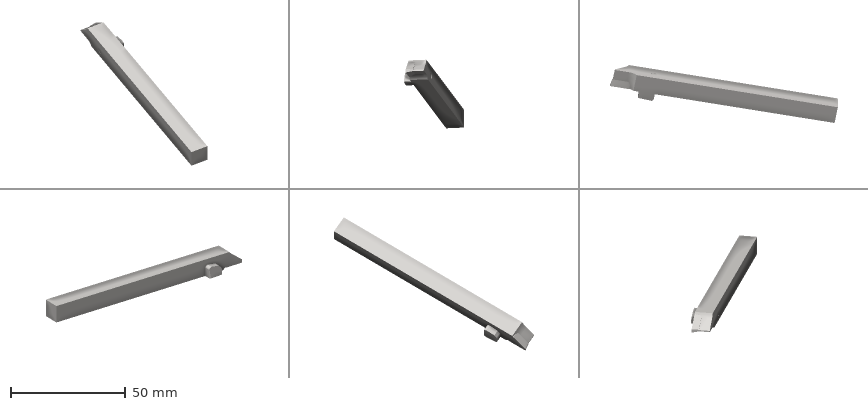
import cadquery as cq
import math

LENGTH = 100.0
WIDTH = 8.0
HEIGHT = 8.0

NOSE_X = 0.65
NOSE_BOTTOM = 1.5
NOSE_TOP = 2.1
RAMP_END_X = 4.8
RAMP_END_Z = 5.4
RAMP_TOP_X = 6.9
RELIEF_START_X = 7.0
RELIEF_END_X = 10.4

TIP_INNER_Y = 4.8
TIP_INNER_X = 0.5
TIP_OUTER_BOTTOM = 0.9
TIP_OUTER_EDGE = 2.4
TIP_INNER_EDGE = 2.3
TIP_SLOPE = 0.78
TIP_TOP_X = 6.3
TIP_ROOT_X = 8.5

PIN_X = 18.0
PIN_Z = 3.3
PIN_DIAMETER = 2.5
PIN_RECESS = 0.1

LUG_REACH = 3.5
LUG_LEFT = 13.0
LUG_WALL_TOP = 2.6
LUG_SLOPE_START = (13.5, 3.65)
LUG_SLOPE_END = (14.5, 4.6)
LUG_TOP_START = (15.1, 4.7)
LUG_TOP_END = (18.6, 5.2)
LUG_ROUND_START = (19.0, 5.0)
LUG_ROUND_MIDDLE = (19.6, 4.65)
LUG_ROUND_END = (19.9, 4.1)
LUG_CORNER_RADIUS = 1.0

LUG_FALL_TOWARDS_NOSE = 0.06
LUG_FALL_UPWARDS = 0.125
LUG_TRIM_SIZE = 40.0
LUG_TRIM_DEPTH = 5.0


def make_shank():
    run = RELIEF_END_X - RELIEF_START_X
    relief_radius = (run**2 + NOSE_BOTTOM**2) / (2 * NOSE_BOTTOM)
    half_sweep = math.atan2(NOSE_BOTTOM, run)
    relief_middle = (
        RELIEF_START_X + relief_radius * math.sin(half_sweep),
        NOSE_BOTTOM - relief_radius * (1 - math.cos(half_sweep)),
    )
    return (
        cq.Workplane("XZ")
        .moveTo(NOSE_X, NOSE_BOTTOM)
        .lineTo(NOSE_X, NOSE_TOP)
        .lineTo(RAMP_END_X, RAMP_END_Z)
        .tangentArcPoint((RAMP_TOP_X, HEIGHT), relative=False)
        .lineTo(LENGTH, HEIGHT)
        .lineTo(LENGTH, 0)
        .lineTo(RELIEF_END_X, 0)
        .threePointArc(relief_middle, (RELIEF_START_X, NOSE_BOTTOM))
        .close()
        .extrude(-WIDTH)
    )


def tip_section(y, nose_x, bottom, edge):
    """Section of the tip across Y; every section has the same top slope."""
    top = edge + TIP_SLOPE * (TIP_TOP_X - nose_x)
    points = [
        (nose_x, bottom),
        (nose_x, edge),
        (TIP_TOP_X, top),
        (TIP_ROOT_X, top),
        (TIP_ROOT_X, bottom),
    ]
    return cq.Wire.makePolygon([cq.Vector(x, y, z) for x, z in points], close=True)


def make_tip():
    outer = tip_section(WIDTH, 0, TIP_OUTER_BOTTOM, TIP_OUTER_EDGE)
    inner = tip_section(TIP_INNER_Y, TIP_INNER_X, NOSE_BOTTOM, TIP_INNER_EDGE)
    return cq.Workplane(obj=cq.Solid.makeLoft([inner, outer], True))


def make_lug():
    body = (
        cq.Workplane("XZ", origin=(0, WIDTH, 0))
        .moveTo(LUG_LEFT, 0)
        .lineTo(LUG_LEFT, LUG_WALL_TOP)
        .tangentArcPoint(LUG_SLOPE_START, relative=False)
        .lineTo(*LUG_SLOPE_END)
        .lineTo(*LUG_TOP_START)
        .lineTo(*LUG_TOP_END)
        .lineTo(*LUG_ROUND_START)
        .threePointArc(LUG_ROUND_MIDDLE, LUG_ROUND_END)
        .lineTo(LUG_ROUND_END[0], 0)
        .close()
        .extrude(-LUG_REACH)
    )
    corner_x = LUG_ROUND_END[0] - LUG_CORNER_RADIUS
    outer_y = WIDTH + LUG_REACH
    diagonal = LUG_CORNER_RADIUS * math.sqrt(0.5)
    plan = (
        cq.Workplane("XY")
        .moveTo(LUG_LEFT, WIDTH)
        .lineTo(LUG_LEFT, outer_y)
        .lineTo(corner_x, outer_y)
        .threePointArc(
            (corner_x + diagonal, outer_y - LUG_CORNER_RADIUS + diagonal),
            (LUG_ROUND_END[0], outer_y - LUG_CORNER_RADIUS),
        )
        .lineTo(LUG_ROUND_END[0], WIDTH)
        .close()
        .extrude(HEIGHT)
    )
    trim_plane = cq.Plane(
        origin=(corner_x, outer_y, 0),
        xDir=(1, LUG_FALL_TOWARDS_NOSE, 0),
        normal=(-LUG_FALL_TOWARDS_NOSE, 1, LUG_FALL_UPWARDS),
    )
    trim = cq.Workplane(trim_plane).rect(LUG_TRIM_SIZE, LUG_TRIM_SIZE).extrude(LUG_TRIM_DEPTH)
    return body.intersect(plan).cut(trim)


def make_pin_recess():
    return (
        cq.Workplane("XZ")
        .center(PIN_X, PIN_Z)
        .circle(PIN_DIAMETER / 2)
        .extrude(-PIN_RECESS)
    )


result = make_shank().union(make_tip()).union(make_lug()).cut(make_pin_recess())